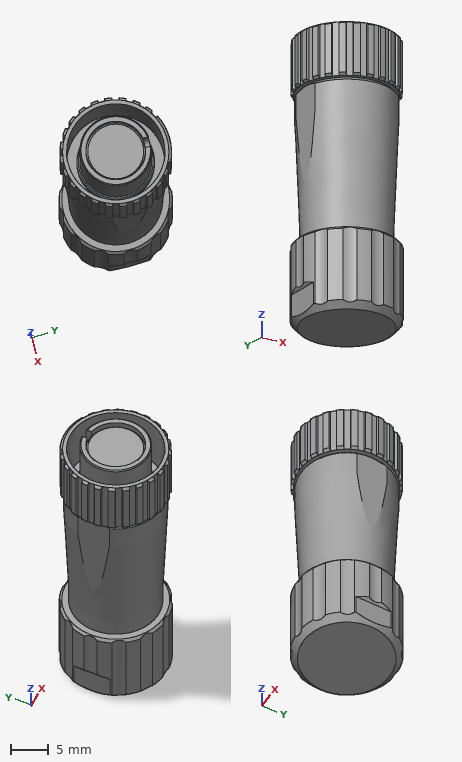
import cadquery as cq
import math

nut_height = 11.55
taper_bottom_z = 13.8
taper_top_z = 29.3
collar_chamfer_z = 32.8
ring_bottom_z = 33.3
ring_top_z = 41.0
total_height = 41.8

nut_radius = 7.5
nut_bottom_chamfer = 0.97
nut_top_chamfer = 0.36
flute_count = 12
flute_chord = 1.87
flute_floor_radius = 7.25
nut_flat_distance = 7.0
nut_flat_height = 4.05

neck_radius = 6.25
body_radius = 6.9
body_flat_distance = 6.5
collar_chamfer = ring_bottom_z - collar_chamfer_z

ring_radius = 7.4
ring_core_radius = 7.03
ring_bore_radius = 6.5
rib_count = 24
groove_width = 0.84
groove_flare_angle = 14.0
rib_end_chamfer_height = 0.3
pad_angle = 90.0
pad_half_angle = 22.5
bore_floor_z = 33.8

insert_radius = 4.75
insert_rim_chamfer = 0.15
insert_base_radius = 5.15
insert_base_chamfer = 0.2
insert_base_height = 1.0
recess_radius = 3.95
plug_radius = 3.7
plug_top_z = 41.2
plug_chamfer = recess_radius - plug_radius
keyway_width = 1.3
keyway_depth = 2.2


def revolve_profile(points):
    """Solid of revolution about Z from (radius, z) points."""
    return cq.Workplane("XZ").polyline(points).close().revolve(360, (0, 0, 0), (0, 1, 0))


def nut_flute():
    """Round-bottomed cutter along Z whose arc meets the nut surface at the flute edges."""
    half_chord = flute_chord / 2
    edge_radius = math.sqrt(nut_radius**2 - half_chord**2)
    depth = edge_radius - flute_floor_radius
    cutter_radius = (half_chord**2 + depth**2) / (2 * depth)
    return (
        cq.Workplane("XY")
        .center(flute_floor_radius + cutter_radius, 0)
        .circle(cutter_radius)
        .extrude(nut_height)
    )


def nut_flat(side):
    """Cutter for one wrench flat; side is +1 for +X and -1 for -X."""
    outer = 2 * nut_radius
    ramp = outer - nut_flat_distance
    return (
        cq.Workplane("XZ")
        .moveTo(side * nut_flat_distance, 0)
        .lineTo(side * nut_flat_distance, nut_flat_height)
        .lineTo(side * outer, nut_flat_height + ramp)
        .lineTo(side * outer, 0)
        .close()
        .extrude(nut_radius, both=True)
    )


def clamping_nut():
    nut = revolve_profile([
        (0, 0),
        (nut_radius - nut_bottom_chamfer, 0),
        (nut_radius, nut_bottom_chamfer),
        (nut_radius, nut_height - nut_top_chamfer),
        (nut_radius - nut_top_chamfer, nut_height),
        (0, nut_height),
    ])
    flute = nut_flute()
    for index in range(flute_count):
        nut = nut.cut(flute.rotate((0, 0, 0), (0, 0, 1), index * 360 / flute_count))
    for side in (1, -1):
        nut = nut.cut(nut_flat(side))
    return nut


def tapered_body():
    body = revolve_profile([
        (0, nut_height),
        (neck_radius, nut_height),
        (neck_radius, taper_bottom_z),
        (body_radius, taper_top_z),
        (body_radius, collar_chamfer_z),
        (body_radius - collar_chamfer, ring_bottom_z),
        (0, ring_bottom_z),
    ])
    between_flats = cq.Workplane("XY").box(
        2 * body_flat_distance, 2 * body_radius, total_height, centered=(True, True, False)
    )
    return body.intersect(between_flats)


def knurl_groove():
    """Cutter on +X with a flat floor and sides that flare outward."""
    outer = 2 * ring_radius - ring_core_radius
    half_floor = groove_width / 2
    flare = (outer - ring_core_radius) * math.tan(math.radians(groove_flare_angle))
    return (
        cq.Workplane("XY", origin=(0, 0, ring_bottom_z))
        .moveTo(ring_core_radius, -half_floor)
        .lineTo(outer, -half_floor - flare)
        .lineTo(outer, half_floor + flare)
        .lineTo(ring_core_radius, half_floor)
        .close()
        .extrude(ring_top_z - ring_bottom_z)
    )


def coupling_ring():
    ring = revolve_profile([
        (0, ring_bottom_z),
        (ring_core_radius, ring_bottom_z),
        (ring_radius, ring_bottom_z + rib_end_chamfer_height),
        (ring_radius, ring_top_z - rib_end_chamfer_height),
        (ring_core_radius, ring_top_z),
        (ring_bore_radius, ring_top_z),
        (ring_bore_radius, bore_floor_z),
        (0, bore_floor_z),
    ])
    groove = knurl_groove()
    for index in range(rib_count):
        angle = index * 360 / rib_count
        if abs(angle - pad_angle) > pad_half_angle:
            ring = ring.cut(groove.rotate((0, 0, 0), (0, 0, 1), angle))
    return ring


def keyway():
    """Round-bottomed slot through the insert rim on the +Y side."""
    half_width = keyway_width / 2
    bottom_centre_z = total_height - keyway_depth + half_width
    return (
        cq.Workplane("XZ", origin=(0, plug_radius, 0))
        .moveTo(-half_width, total_height)
        .lineTo(-half_width, bottom_centre_z)
        .threePointArc((0, bottom_centre_z - half_width), (half_width, bottom_centre_z))
        .lineTo(half_width, total_height)
        .close()
        .extrude(-insert_radius)
    )


def contact_insert():
    """Slotted sleeve on a wider base, filled by a chamfered plug the keyway does not cut."""
    base_top_z = bore_floor_z + insert_base_height
    sleeve = revolve_profile([
        (recess_radius, bore_floor_z),
        (insert_base_radius, bore_floor_z),
        (insert_base_radius, base_top_z - insert_base_chamfer),
        (insert_base_radius - insert_base_chamfer, base_top_z),
        (insert_radius, base_top_z),
        (insert_radius, total_height - insert_rim_chamfer),
        (insert_radius - insert_rim_chamfer, total_height),
        (recess_radius, total_height),
    ])
    plug = revolve_profile([
        (0, bore_floor_z),
        (recess_radius, bore_floor_z),
        (recess_radius, plug_top_z - plug_chamfer),
        (plug_radius, plug_top_z),
        (0, plug_top_z),
    ])
    return sleeve.cut(keyway()).union(plug)


result = clamping_nut().union(tapered_body()).union(coupling_ring()).union(contact_insert())